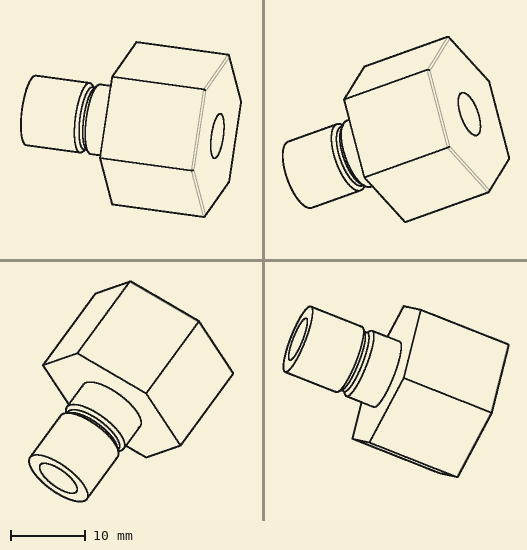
import cadquery as cq
import math

total_length = 26.0
hex_length = 13.0
spigot_length = total_length - hex_length

hex_across_flats = 19.0
spigot_diameter = 9.4
bore_diameter = 6.0

groove_start = 7.5
groove_width = 1.5
groove_depth = 0.5
groove_end = groove_start + groove_width

end_rounding = 0.25


def make_hexagon():
    """Hexagonal body with corners on the Y axis and rounded edges on its +X end."""
    across_corners = hex_across_flats / math.cos(math.pi / 6)
    return (
        cq.Workplane("YZ")
        .workplane(offset=spigot_length)
        .polygon(6, across_corners)
        .extrude(hex_length)
        .faces(">X")
        .edges()
        .fillet(end_rounding)
    )


def make_spigot():
    """Round spigot with its ring groove, revolved about the X axis."""
    outer_radius = spigot_diameter / 2
    floor_radius = outer_radius - groove_depth
    profile = [
        (0, 0),
        (0, outer_radius),
        (groove_start, outer_radius),
        (groove_start + groove_depth, floor_radius),
        (groove_end - groove_depth, floor_radius),
        (groove_end, outer_radius),
        (spigot_length, outer_radius),
        (spigot_length, 0),
    ]
    return cq.Workplane("XY").polyline(profile).close().revolve(360, (0, 0, 0), (1, 0, 0))


def make_bore():
    """Through bore along the X axis."""
    return cq.Workplane("YZ").circle(bore_diameter / 2).extrude(total_length)


result = make_hexagon().union(make_spigot()).cut(make_bore())